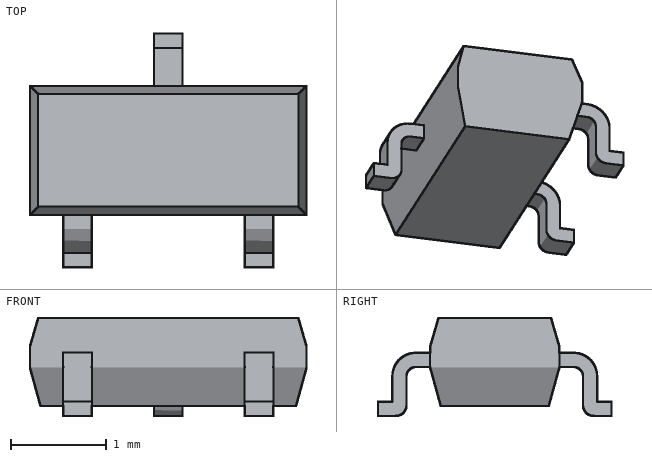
import cadquery as cq

body_length = 2.9
body_width = 1.355
body_bottom = 0.105
belt_bottom = 0.505
belt_top = 0.73
body_top = 1.03
top_inset = 0.087
bottom_inset = 0.11

lead_span = 2.45
lead_width = 0.302
lead_thickness = 0.15
lead_top = 0.665
foot_length = 0.15
shoulder_radius = 0.25
shoulder_inner_radius = shoulder_radius - lead_thickness
heel_radius = 0.113
lead_pitch = 1.902


def make_cap(belt_z, end_z, inset):
    """Tapered block from the belt outline to a smaller outline at end_z."""
    return (
        cq.Workplane("XY", origin=(0, 0, belt_z))
        .rect(body_length, body_width)
        .workplane(offset=end_z - belt_z)
        .rect(body_length - 2 * inset, body_width - 2 * inset)
        .loft(ruled=True)
    )


def make_body():
    belt = (
        cq.Workplane("XY", origin=(0, 0, belt_bottom))
        .rect(body_length, body_width)
        .extrude(belt_top - belt_bottom)
    )
    upper_cap = make_cap(belt_top, body_top, top_inset)
    lower_cap = make_cap(belt_bottom, body_bottom, bottom_inset)
    return belt.union(upper_cap).union(lower_cap)


def make_lead(x_center, side):
    """Lead at x_center, leaving the body toward +Y (side = 1) or -Y (side = -1)."""
    root_y = body_width / 2
    toe_y = lead_span / 2
    upright_outer_y = toe_y - foot_length
    upright_inner_y = upright_outer_y - lead_thickness
    shoulder_y = upright_outer_y - shoulder_radius
    shoulder_z = lead_top - shoulder_radius

    def bend(radius):
        """Midpoint of a shoulder arc that turns from level to upright."""
        reach = radius * 0.5 ** 0.5
        return shoulder_y + reach, shoulder_z + reach

    heel_y = upright_inner_y + heel_radius
    heel_reach = heel_radius * 0.5 ** 0.5
    lead = (
        cq.Workplane("YZ", origin=(-lead_width / 2, 0, 0))
        .moveTo(root_y, lead_top)
        .lineTo(shoulder_y, lead_top)
        .threePointArc(bend(shoulder_radius), (upright_outer_y, shoulder_z))
        .lineTo(upright_outer_y, lead_thickness)
        .lineTo(toe_y, lead_thickness)
        .lineTo(toe_y, 0)
        .lineTo(heel_y, 0)
        .threePointArc((heel_y - heel_reach, heel_radius - heel_reach), (upright_inner_y, heel_radius))
        .lineTo(upright_inner_y, shoulder_z)
        .threePointArc(bend(shoulder_inner_radius), (shoulder_y, lead_top - lead_thickness))
        .lineTo(root_y, lead_top - lead_thickness)
        .close()
        .extrude(lead_width)
    )
    if side < 0:
        lead = lead.mirror("XZ")
    return lead.translate((x_center, 0, 0))


body = make_body()
lead_places = [(-lead_pitch / 2, -1), (lead_pitch / 2, -1), (0, 1)]
leads = [make_lead(x_center, side) for x_center, side in lead_places]

result = cq.Compound.makeCompound([body.val(), *[lead.val() for lead in leads]])